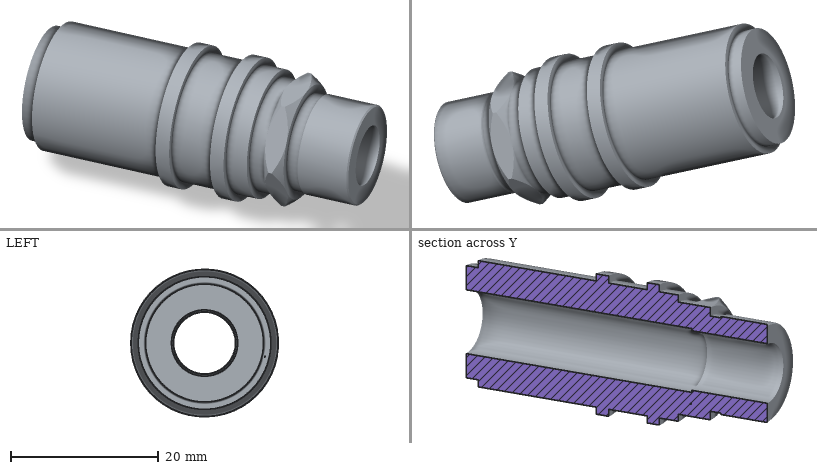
import cadquery as cq
import math

total_length = 47.5
nose_length = 1.9
ring_width = 2.0
front_ring_start = 20.5
rear_ring_start = 28.5
body_end = 33.5
hex_start = 35.5
hex_width = 3.0
thread_start = 40.0

ring_diameter = 20.0
body_diameter = 18.0
nose_diameter = 16.0
neck_diameter = 13.6
thread_diameter = 14.0
thread_chamfer = (thread_diameter - neck_diameter) / 2
front_bore_diameter = 9.0
rear_bore_diameter = 8.4

across_flats = nose_diameter
across_corners = across_flats / math.cos(math.radians(30))
hex_end = hex_start + hex_width
corner_chamfer = (across_corners - across_flats) / 2

front_bore_depth = hex_start


def cylinder(start, end, diameter):
    """Solid cylinder on the X axis between two stations."""
    return cq.Workplane("YZ", origin=(start, 0, 0)).circle(diameter / 2).extrude(end - start)


def revolve_about_x(outline):
    """Revolve a closed (station, radius) outline around the X axis."""
    return cq.Workplane("XY").polyline(outline).close().revolve(360, (0, 0, 0), (1, 0, 0))


def make_sleeve():
    """Front nose, main body, two raised rings and the collar behind the body."""
    sleeve = cylinder(0, hex_start, nose_diameter)
    sleeve = sleeve.union(cylinder(nose_length, body_end, body_diameter))
    for ring_start in (front_ring_start, rear_ring_start):
        sleeve = sleeve.union(cylinder(ring_start, ring_start + ring_width, ring_diameter))
    return sleeve


def make_hexagon():
    """Hexagon whose corners are turned off by a cone at each end."""
    prism = (
        cq.Workplane("YZ", origin=(hex_start, 0, 0))
        .polygon(6, across_corners)
        .extrude(hex_width)
    )
    turned_envelope = revolve_about_x([
        (hex_start, 0),
        (hex_start, across_flats / 2),
        (hex_start + corner_chamfer, across_corners / 2),
        (hex_end - corner_chamfer, across_corners / 2),
        (hex_end, across_flats / 2),
        (hex_end, 0),
    ])
    return prism.intersect(turned_envelope)


def make_threaded_end():
    """Narrow neck and the plain thread diameter, chamfered at both ends."""
    neck_radius = neck_diameter / 2
    thread_radius = thread_diameter / 2
    return revolve_about_x([
        (hex_end, 0),
        (hex_end, neck_radius),
        (thread_start, neck_radius),
        (thread_start + thread_chamfer, thread_radius),
        (total_length - thread_chamfer, thread_radius),
        (total_length, neck_radius),
        (total_length, 0),
    ])


def make_bore():
    """Stepped through bore, wider at the front."""
    front_bore = cylinder(0, front_bore_depth, front_bore_diameter)
    rear_bore = cylinder(0, total_length, rear_bore_diameter)
    return front_bore.union(rear_bore)


result = make_sleeve().union(make_hexagon()).union(make_threaded_end()).cut(make_bore())